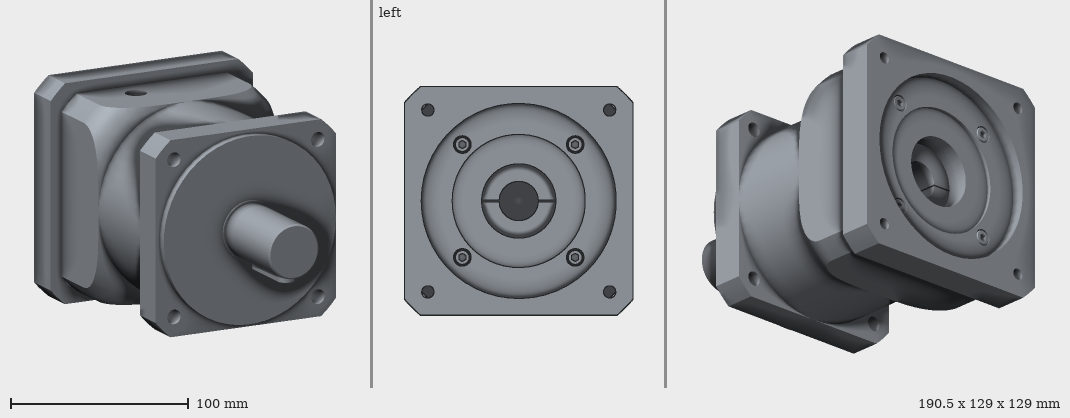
import cadquery as cq
import math

BODY_WIDTH = 115.0
BODY_RADIUS = BODY_WIDTH / 2
BODY_CORNER_DIAMETER = 150.0
JOINT_X = 72.8

PLATE_WIDTH = 129.0
PLATE_CORNER_DIAMETER = 170.0
PLATE_THICKNESS = 20.0
BELL_BLEND_START_X = 46.7
BELL_BLEND_RADIUS = BODY_CORNER_DIAMETER / 2 - BODY_RADIUS

PILOT_RECESS_DIAMETER = 110.0
PILOT_RECESS_DEPTH = 8.0
INNER_RECESS_DIAMETER = 75.0
INNER_RECESS_DEPTH = 2.5
INNER_RECESS_FLOOR_X = PILOT_RECESS_DEPTH + INNER_RECESS_DEPTH
SHAFT_OPENING_DIAMETER = 42.0
CAVITY_DIAMETER = INNER_RECESS_DIAMETER
CAVITY_START_X = 24.0

MOTOR_HOLE_DIAMETER = 6.9
MOTOR_HOLE_CIRCLE = 144.8

SCREW_CIRCLE = 90.0
SCREW_POCKET_DIAMETER = 10.0
SCREW_HEAD_DIAMETER = 8.5
SCREW_HEAD_CHAMFER = 0.4
SCREW_HEAD_HEIGHT = 5.0
SOCKET_FLATS = 4.0
SOCKET_DEPTH = 2.5

ACCESS_HOLE_DIAMETER = 12.5
ACCESS_HOLE_X = 34.7
ACCESS_HOLE_Y = -18.0

HUB_DIAMETER = 50.0
HUB_FACE_X = 26.0
HUB_BORE_DIAMETER = 22.1
SLIT_WIDTH = 1.0
SLIT_DEPTH = 19.0

FLANGE_START_X = 114.0
FLANGE_END_X = 132.8
FLANGE_HOLE_DIAMETER = 8.5
FLANGE_HOLE_CIRCLE = 130.0
OUTPUT_PILOT_DIAMETER = 110.0
OUTPUT_PILOT_END_X = 137.5
SHOULDER_DIAMETER = 35.0
SHOULDER_END_X = 138.5
SHAFT_DIAMETER = 32.0
SHAFT_END_X = 190.5
SHAFT_CHAMFER = 1.0

KEY_LENGTH = 40.0
KEY_WIDTH = 10.0
KEY_START_X = 145.5
KEY_REACH = 19.0


def cylinder(start_x, end_x, diameter):
    """Cylinder on the X axis between two X positions."""
    return cq.Workplane("YZ", origin=(start_x, 0, 0)).circle(diameter / 2).extrude(end_x - start_x)


def square_block(start_x, end_x, width):
    """Square block centred on the X axis between two X positions."""
    return cq.Workplane("YZ", origin=(start_x, 0, 0)).rect(width, width).extrude(end_x - start_x)


def turned_square(start_x, end_x, width, corner_diameter):
    """Square block whose four corners are turned down to a circle."""
    return square_block(start_x, end_x, width).intersect(cylinder(start_x, end_x, corner_diameter))


def corner_points(circle_diameter):
    """The four (Y, Z) points on the diagonals of a bolt circle."""
    offset = circle_diameter / 2 / math.sqrt(2)
    return [(y, z) for y in (-offset, offset) for z in (-offset, offset)]


def corner_cylinders(start_x, end_x, diameter, circle_diameter):
    """Four cylinders along X on the diagonals of a bolt circle."""
    return (
        cq.Workplane("YZ", origin=(start_x, 0, 0))
        .pushPoints(corner_points(circle_diameter))
        .circle(diameter / 2)
        .extrude(end_x - start_x)
    )


def make_bell():
    """Square bell whose corners round off into the round collar."""
    corner_radius = BODY_CORNER_DIAMETER / 2
    blend_end_x = BELL_BLEND_START_X + BELL_BLEND_RADIUS
    blend_mid = BELL_BLEND_RADIUS / math.sqrt(2)
    envelope = (
        cq.Workplane("XY")
        .moveTo(PLATE_THICKNESS, 0)
        .lineTo(PLATE_THICKNESS, corner_radius)
        .lineTo(BELL_BLEND_START_X, corner_radius)
        .threePointArc(
            (BELL_BLEND_START_X + blend_mid, BODY_RADIUS + blend_mid),
            (blend_end_x, BODY_RADIUS),
        )
        .lineTo(blend_end_x, 0)
        .close()
        .revolve(360, (0, 0, 0), (1, 0, 0))
    )
    bell = square_block(PLATE_THICKNESS, blend_end_x, BODY_WIDTH).intersect(envelope)
    return bell.union(cylinder(blend_end_x, JOINT_X, BODY_WIDTH))


def add_screw_heads(adapter):
    """Sink four hexagon socket screw heads, flush with the floor of the pilot recess."""
    top_x = PILOT_RECESS_DEPTH
    bottom_x = top_x + SCREW_HEAD_HEIGHT
    pockets = corner_cylinders(top_x, bottom_x, SCREW_POCKET_DIAMETER, SCREW_CIRCLE)
    heads = corner_cylinders(top_x, bottom_x, SCREW_HEAD_DIAMETER, SCREW_CIRCLE)
    heads = heads.faces("<X").edges().chamfer(SCREW_HEAD_CHAMFER)
    socket_corners = SOCKET_FLATS / math.cos(math.pi / 6)
    socket_plane = cq.Plane(origin=(top_x, 0, 0), xDir=(0, 0, 1), normal=(1, 0, 0))
    sockets = (
        cq.Workplane(socket_plane)
        .pushPoints(corner_points(SCREW_CIRCLE))
        .polygon(6, socket_corners)
        .extrude(SOCKET_DEPTH)
    )
    return adapter.cut(pockets).union(heads.cut(sockets))


def make_adapter():
    adapter = turned_square(0, PLATE_THICKNESS, PLATE_WIDTH, PLATE_CORNER_DIAMETER)
    adapter = adapter.union(make_bell())

    adapter = adapter.cut(cylinder(0, PILOT_RECESS_DEPTH, PILOT_RECESS_DIAMETER))
    adapter = adapter.cut(cylinder(PILOT_RECESS_DEPTH, INNER_RECESS_FLOOR_X, INNER_RECESS_DIAMETER))
    adapter = adapter.cut(cylinder(INNER_RECESS_FLOOR_X, CAVITY_START_X, SHAFT_OPENING_DIAMETER))
    adapter = adapter.cut(cylinder(CAVITY_START_X, JOINT_X, CAVITY_DIAMETER))

    adapter = adapter.cut(
        corner_cylinders(0, PLATE_THICKNESS, MOTOR_HOLE_DIAMETER, MOTOR_HOLE_CIRCLE)
    )

    access_hole = (
        cq.Workplane("XY")
        .center(ACCESS_HOLE_X, ACCESS_HOLE_Y)
        .circle(ACCESS_HOLE_DIAMETER / 2)
        .extrude(BODY_RADIUS)
    )
    adapter = adapter.cut(access_hole)
    return add_screw_heads(adapter)


def make_key():
    """Round-ended key on the underside of the shaft."""
    return (
        cq.Workplane("XY", origin=(KEY_START_X + KEY_LENGTH / 2, 0, -KEY_REACH))
        .slot2D(KEY_LENGTH, KEY_WIDTH)
        .extrude(KEY_REACH)
    )


def make_gearbox():
    gearbox = cylinder(JOINT_X, FLANGE_START_X, BODY_WIDTH)
    flange = turned_square(FLANGE_START_X, FLANGE_END_X, BODY_WIDTH, BODY_CORNER_DIAMETER)
    flange = flange.cut(
        corner_cylinders(FLANGE_START_X, FLANGE_END_X, FLANGE_HOLE_DIAMETER, FLANGE_HOLE_CIRCLE)
    )
    gearbox = gearbox.union(flange)

    gearbox = gearbox.union(cylinder(FLANGE_END_X, OUTPUT_PILOT_END_X, OUTPUT_PILOT_DIAMETER))
    gearbox = gearbox.union(cylinder(OUTPUT_PILOT_END_X, SHOULDER_END_X, SHOULDER_DIAMETER))
    shaft = cylinder(SHOULDER_END_X, SHAFT_END_X, SHAFT_DIAMETER)
    shaft = shaft.faces(">X").edges().chamfer(SHAFT_CHAMFER)
    gearbox = gearbox.union(shaft).union(make_key())

    hub = cylinder(HUB_FACE_X, JOINT_X, HUB_DIAMETER)
    hub = hub.cut(cylinder(HUB_FACE_X, JOINT_X, HUB_BORE_DIAMETER))
    slit = cq.Workplane("XY").box(
        SLIT_DEPTH, HUB_DIAMETER, SLIT_WIDTH, centered=(False, True, True)
    )
    hub = hub.cut(slit.translate((HUB_FACE_X, 0, 0)))
    return gearbox.union(hub)


adapter = make_adapter()
gearbox = make_gearbox()
result = cq.Compound.makeCompound([*adapter.solids().vals(), *gearbox.solids().vals()])